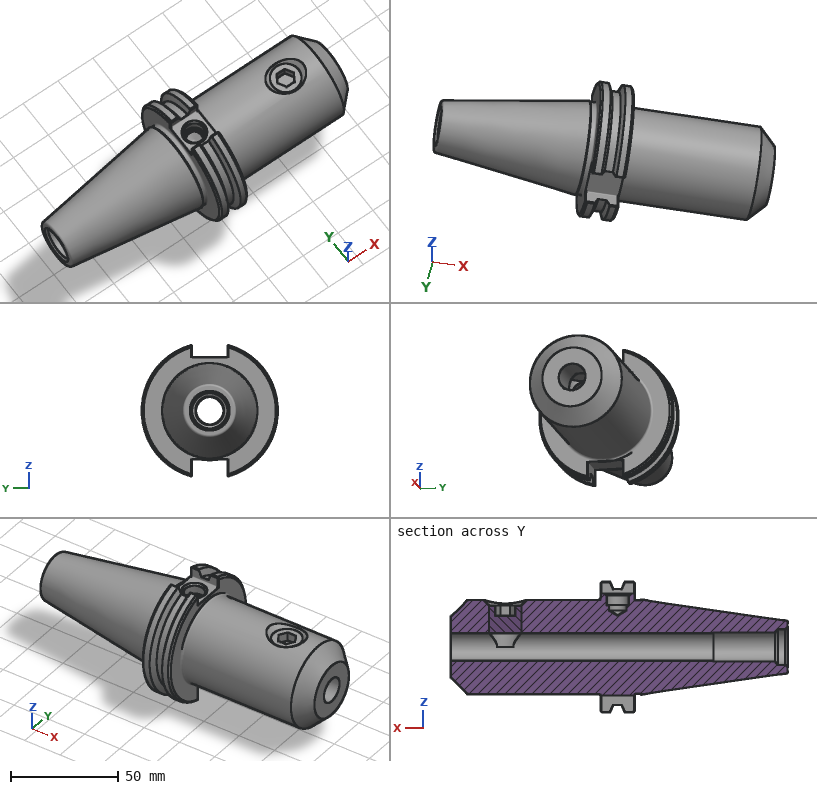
import cadquery as cq
import math

total_length = 157.2

taper_length = 68.2
taper_large_radius = 44.5 / 2
taper_slope = 7 / 48
taper_small_radius = taper_large_radius - taper_slope * taper_length
taper_end_fillet = 1.1

neck_radius = 43.7 / 2
neck_chamfer = taper_large_radius - neck_radius
neck_fillet = 0.6

flange_start = 71.3
flange_end = 87.2
flange_radius = 63.5 / 2
flange_chamfer = 1.0
groove_radius = 56.5 / 2
groove_floor_start = 77.5
groove_floor_end = 81.4
groove_wall_run = 1.5

slot_width = 16.5
slot_edge_chamfer = 0.5
slot_floor_fillet = 0.5
top_slot_floor = 25.0
bottom_slot_floor = 22.6

slot_hole_radius = 10.0 / 2
slot_hole_depth = 5.5
slot_hole_chamfer = 1.0
slot_drill_radius = 8.0 / 2
slot_drill_depth = 7.9
drill_tip_angle = 118.0

body_radius = 44.0 / 2
body_fillet = 1.1
nose_chamfer = 7.9

mouth_radius = 18.5 / 2
mouth_chamfer_length = 1.3
pilot_radius = 16.5 / 2
pilot_end = 4.7
thread_start = 6.0
thread_radius = 13.4 / 2
thread_end = 34.5
bore_radius = 12.7 / 2

screw_x = 131.7
screw_radius = 14.8 / 2
screw_top = 19.3
screw_bottom = bore_radius
socket_across_flats = 8.0
socket_depth = 4.7
socket_rotation = 30


def revolve_about_x(profile):
    """Turn a closed profile of (x, radius) around the X axis."""
    return profile.close().revolve(360, (0, 0, 0), (1, 0, 0))


def turned_outline():
    """Taper, neck, flange and tool body as one turned solid."""
    profile = (
        cq.Workplane("XY")
        .moveTo(0, 0)
        .lineTo(0, taper_small_radius)
        .lineTo(taper_length, taper_large_radius)
        .lineTo(taper_length + neck_chamfer, neck_radius)
        .lineTo(flange_start - neck_fillet, neck_radius)
        .radiusArc((flange_start, neck_radius + neck_fillet), -neck_fillet)
        .lineTo(flange_start, flange_radius - flange_chamfer)
        .lineTo(flange_start + flange_chamfer, flange_radius)
        .lineTo(flange_end - flange_chamfer, flange_radius)
        .lineTo(flange_end, flange_radius - flange_chamfer)
        .lineTo(flange_end, body_radius + body_fillet)
        .radiusArc((flange_end + body_fillet, body_radius), -body_fillet)
        .lineTo(total_length - nose_chamfer, body_radius)
        .lineTo(total_length, body_radius - nose_chamfer)
        .lineTo(total_length, 0)
    )
    return revolve_about_x(profile).faces("<X").edges().fillet(taper_end_fillet)


def drive_slot(floor):
    """Cutter for a drive slot in the top of the flange, flared where its walls meet the flange faces."""
    length = flange_end - flange_start
    middle = (flange_start + flange_end) / 2
    slot = (
        cq.Workplane("XY", origin=(middle, 0, floor))
        .rect(length, slot_width)
        .extrude(flange_radius - floor)
        .edges("|X and <Z")
        .fillet(slot_floor_fillet)
    )
    for face_x, inward in ((flange_start, 1), (flange_end, -1)):
        half = slot_width / 2
        flare = (
            cq.Workplane("XY", origin=(face_x, 0, floor))
            .moveTo(0, -half - slot_edge_chamfer)
            .lineTo(inward * slot_edge_chamfer, -half)
            .lineTo(inward * slot_edge_chamfer, half)
            .lineTo(0, half + slot_edge_chamfer)
            .close()
            .extrude(flange_radius - floor)
        )
        slot = slot.union(flare)
    return slot


def cut_drive_slots(holder):
    """Cut both drive slots and chamfer the rims of their walls."""
    top_slot = drive_slot(top_slot_floor)
    bottom_slot = drive_slot(bottom_slot_floor).rotate((0, 0, 0), (1, 0, 0), 180)
    slotted = holder.cut(top_slot).cut(bottom_slot)
    wall_edges = slotted.edges("|X").vals()
    rims = [edge for edge in wall_edges if abs(edge.Center().z) > groove_radius]
    return slotted.newObject(rims).chamfer(slot_edge_chamfer)


def gripper_groove():
    """Ring cutter with slanted walls around the flange."""
    profile = (
        cq.Workplane("XY")
        .moveTo(groove_floor_start, groove_radius)
        .lineTo(groove_floor_end, groove_radius)
        .lineTo(groove_floor_end + groove_wall_run, flange_radius)
        .lineTo(groove_floor_start - groove_wall_run, flange_radius)
    )
    return revolve_about_x(profile)


def slot_hole():
    """Stepped hole with a conical tip, drilled down from the top slot floor."""
    tip = slot_drill_radius / math.tan(math.radians(drill_tip_angle / 2))
    hole = (
        cq.Workplane("XZ")
        .moveTo(0, 0)
        .lineTo(slot_hole_radius + slot_hole_chamfer, 0)
        .lineTo(slot_hole_radius, -slot_hole_chamfer)
        .lineTo(slot_hole_radius, -slot_hole_depth)
        .lineTo(slot_drill_radius, -slot_hole_depth)
        .lineTo(slot_drill_radius, -slot_drill_depth)
        .lineTo(0, -slot_drill_depth - tip)
        .close()
        .revolve(360, (0, 0, 0), (0, 1, 0))
    )
    return hole.translate(((flange_start + flange_end) / 2, 0, top_slot_floor))


def central_hole():
    """Stepped hole through the whole length."""
    profile = (
        cq.Workplane("XY")
        .moveTo(0, 0)
        .lineTo(0, mouth_radius)
        .lineTo(mouth_chamfer_length, pilot_radius)
        .lineTo(pilot_end, pilot_radius)
        .lineTo(thread_start, thread_radius)
        .lineTo(thread_end, thread_radius)
        .lineTo(thread_end, bore_radius)
        .lineTo(total_length, bore_radius)
        .lineTo(total_length, 0)
    )
    return revolve_about_x(profile)


def screw_hole():
    """Hole from the axis up, opening as a 45 degree cone above the screw."""
    cone_height = body_radius - screw_top
    hole = (
        cq.Workplane("XZ")
        .moveTo(0, 0)
        .lineTo(screw_radius, 0)
        .lineTo(screw_radius, screw_top)
        .lineTo(screw_radius + cone_height, body_radius)
        .lineTo(0, body_radius)
        .close()
        .revolve(360, (0, 0, 0), (0, 1, 0))
    )
    return hole.translate((screw_x, 0, 0))


def make_holder():
    """Tool holder with all of its slots and holes."""
    holder = cut_drive_slots(turned_outline())
    holder = holder.cut(gripper_groove()).cut(slot_hole())
    return holder.cut(central_hole()).cut(screw_hole())


def make_screw():
    """Set screw with a hexagon socket whose corners point along X."""
    screw = (
        cq.Workplane("XY", origin=(screw_x, 0, screw_bottom))
        .circle(screw_radius)
        .extrude(screw_top - screw_bottom)
    )
    socket = (
        cq.Workplane("XY", origin=(screw_x, 0, screw_top))
        .polygon(6, socket_across_flats, circumscribed=True)
        .extrude(-socket_depth)
        .rotate((screw_x, 0, 0), (screw_x, 0, 1), socket_rotation)
    )
    return screw.cut(socket)


holder = make_holder()
set_screw = make_screw()
result = cq.Compound.makeCompound([holder.val(), set_screw.val()])